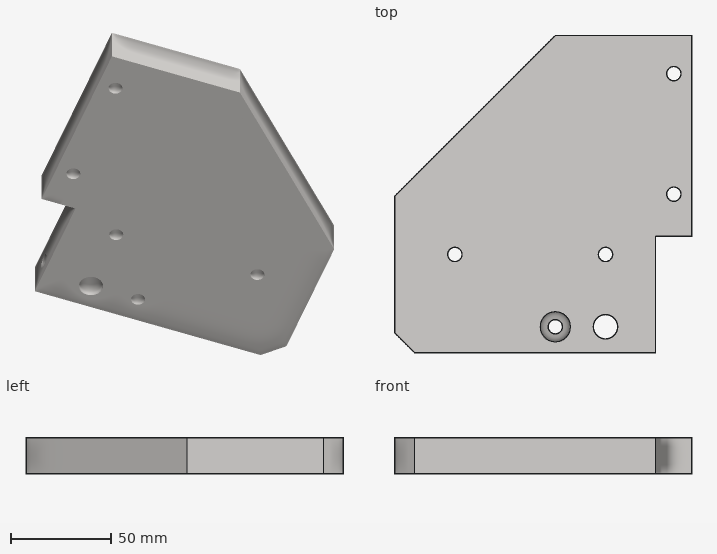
import cadquery as cq

length_x = 148.0
width_y = 158.0
thickness = 18.0

large_chamfer = 80.0
small_chamfer = 10.0
notch_x = 18.0
notch_y = 58.0

screw_diameter = 7.0
edge_column_x = length_x - notch_x / 2
edge_column_y = 79.0
edge_column_pitch = 60.0
row_x = 30.0
row_y = 49.0
row_pitch = 75.0

bottom_row_y = 13.0
large_hole_x = row_x + row_pitch
large_hole_diameter = 12.0
bottom_row_pitch = 25.0
counterbored_hole_x = large_hole_x - bottom_row_pitch
counterbore_diameter = 15.0
counterbore_depth = 5.0

cross_hole_diameter = 7.0
cross_hole_z = thickness / 2


def make_plate():
    """Flat plate with two chamfered left corners and a notched lower right corner."""
    outline = [
        (small_chamfer, 0),
        (length_x - notch_x, 0),
        (length_x - notch_x, notch_y),
        (length_x, notch_y),
        (length_x, width_y),
        (large_chamfer, width_y),
        (0, width_y - large_chamfer),
        (0, small_chamfer),
    ]
    return cq.Workplane("XY").polyline(outline).close().extrude(thickness)


def top_points(plate, points):
    """Place points on the top face, measured from the origin."""
    return plate.faces(">Z").workplane(origin=(0, 0, thickness)).pushPoints(points)


def drill_screw_holes(plate):
    """Plain through holes: a pair along the right edge and a pair across the plate."""
    points = [
        (edge_column_x, edge_column_y),
        (edge_column_x, edge_column_y + edge_column_pitch),
        (row_x, row_y),
        (row_x + row_pitch, row_y),
    ]
    return top_points(plate, points).hole(screw_diameter)


def drill_large_hole(plate):
    """Plain through hole below the right hole of the row."""
    return top_points(plate, [(large_hole_x, bottom_row_y)]).hole(large_hole_diameter)


def drill_counterbored_hole(plate):
    """Through hole counterbored from the top face."""
    return top_points(plate, [(counterbored_hole_x, bottom_row_y)]).cboreHole(
        screw_diameter, counterbore_diameter, counterbore_depth
    )


def drill_cross_hole(plate):
    """Hole along X from the axis of the large hole out through the lower right side."""
    drill = (
        cq.Workplane("YZ", origin=(large_hole_x, bottom_row_y, cross_hole_z))
        .circle(cross_hole_diameter / 2)
        .extrude(length_x - notch_x - large_hole_x)
    )
    return plate.cut(drill)


plate = make_plate()
plate = drill_screw_holes(plate)
plate = drill_large_hole(plate)
plate = drill_counterbored_hole(plate)
result = drill_cross_hole(plate)